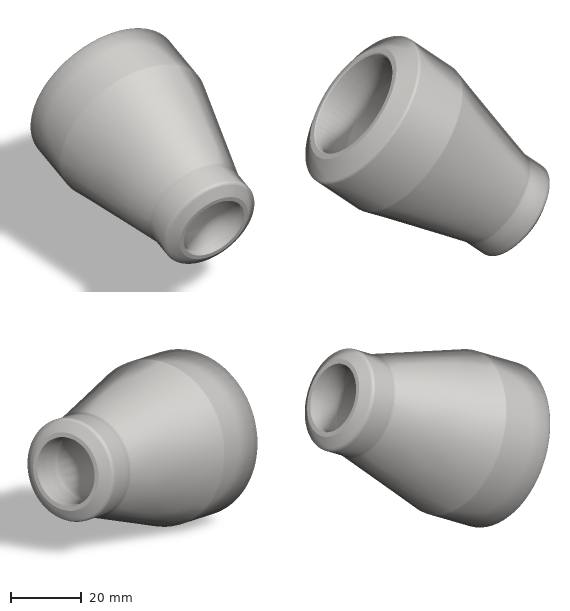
import cadquery as cq
import math

length = 64.0
large_radius = 48.3 / 2
small_radius = 30.0 / 2
taper_start = 20.0
taper_end = 54.0

bevel_angle = math.radians(30)
large_face_radius = 18.2
small_face_radius = 11.3
large_bevel_length = (large_radius - large_face_radius) * math.tan(bevel_angle)
small_bevel_length = (small_radius - small_face_radius) * math.tan(bevel_angle)

large_end_round = 1.0
small_end_round = 1.3
taper_start_round = 1.0
taper_end_round = 1.7

large_bore_radius = 32.3 / 2
small_bore_radius = 20.0 / 2
bore_taper_start = 12.0
bore_taper_end = taper_end
mouth_chamfer = 0.3


def revolve_about_x(outline):
    """Turn a closed outline of (x, radius) points into a solid about X."""
    return cq.Workplane("XY").polyline(outline).close().revolve(360, (0, 0, 0), (1, 0, 0))


def round_edge_at(body, x, radius):
    """Round the circular outer edge lying in the plane at x."""
    margin = 0.05
    half_width = large_radius + 0.65
    selector = cq.selectors.BoxSelector(
        (x - margin, -half_width, -half_width),
        (x + margin, half_width, half_width),
        boundingbox=True,
    )
    return body.edges(selector).fillet(radius)


def make_outer_body():
    large_corner = large_bevel_length
    small_corner = length - small_bevel_length
    body = revolve_about_x([
        (0, 0),
        (0, large_face_radius),
        (large_corner, large_radius),
        (taper_start, large_radius),
        (taper_end, small_radius),
        (small_corner, small_radius),
        (length, small_face_radius),
        (length, 0),
    ])
    body = round_edge_at(body, large_corner, large_end_round)
    body = round_edge_at(body, taper_start, taper_start_round)
    body = round_edge_at(body, taper_end, taper_end_round)
    return round_edge_at(body, small_corner, small_end_round)


def make_bore():
    return revolve_about_x([
        (0, 0),
        (0, large_bore_radius + mouth_chamfer),
        (mouth_chamfer, large_bore_radius),
        (bore_taper_start, large_bore_radius),
        (bore_taper_end, small_bore_radius),
        (length, small_bore_radius),
        (length, 0),
    ])


result = make_outer_body().cut(make_bore())